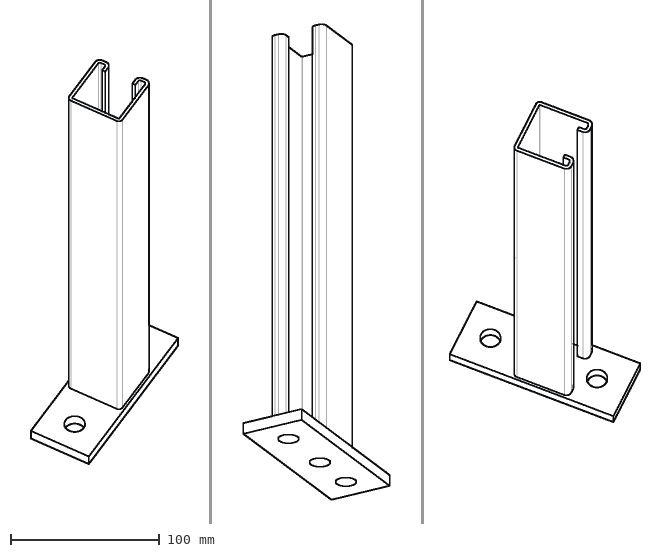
import cadquery as cq

plate_width = 45.0
plate_length = 120.0
plate_thickness = 8.0
hole_diameter = 14.0
hole_y_positions = (-40.0, -4.5, 38.2)

total_height = 308.0
channel_height = total_height - plate_thickness
channel_width = 41.3
channel_depth = 41.3
channel_back_y = -14.5
wall = 2.5
lip_span = 10.2
lip_depth = 7.7
web_bend_radius = 2.8
lip_bend_radius = 3.7


def make_base_plate():
    """Rectangular plate with a row of through holes along Y."""
    return (
        cq.Workplane("XY")
        .box(plate_width, plate_length, plate_thickness, centered=(True, True, False))
        .faces(">Z")
        .workplane()
        .pushPoints([(0, y) for y in hole_y_positions])
        .hole(hole_diameter)
    )


def make_channel():
    """Bent sheet section extruded upwards from the top of the plate."""
    outer_x = channel_width / 2
    inner_x = outer_x - wall
    lip_inner_x = outer_x - lip_span
    lip_outer_x = lip_inner_x + wall
    front_y = channel_back_y + channel_depth
    inner_front_y = front_y - wall
    inner_back_y = channel_back_y + wall
    lip_end_y = front_y - lip_depth

    outer_web_bend = [(outer_x, channel_back_y)]
    outer_lip_bends = [(outer_x, front_y), (lip_inner_x, front_y)]
    lip_end = [(lip_inner_x, lip_end_y), (lip_outer_x, lip_end_y)]
    inner_lip_bends = [(lip_outer_x, inner_front_y), (inner_x, inner_front_y)]
    inner_web_bend = [(inner_x, inner_back_y)]
    right_half = outer_web_bend + outer_lip_bends + lip_end + inner_lip_bends + inner_web_bend
    left_half = [(-x, y) for x, y in reversed(right_half)]

    channel = (
        cq.Workplane("XY", origin=(0, 0, plate_thickness))
        .polyline(right_half + left_half)
        .close()
        .extrude(channel_height)
    )
    channel = round_bends(channel, outer_web_bend, web_bend_radius)
    channel = round_bends(channel, inner_web_bend, web_bend_radius - wall)
    channel = round_bends(channel, outer_lip_bends, lip_bend_radius)
    return round_bends(channel, inner_lip_bends, lip_bend_radius - wall)


def round_bends(channel, bends, radius):
    """Fillet the vertical edges at the given points and at their mirror images."""
    middle_z = plate_thickness + channel_height / 2
    for x, y in bends:
        for side in (-1, 1):
            edge = cq.selectors.NearestToPointSelector((side * x, y, middle_z))
            channel = channel.edges("|Z").edges(edge).fillet(radius)
    return channel


base_plate = make_base_plate()
channel = make_channel()
result = cq.Compound.makeCompound([base_plate.val(), channel.val()])